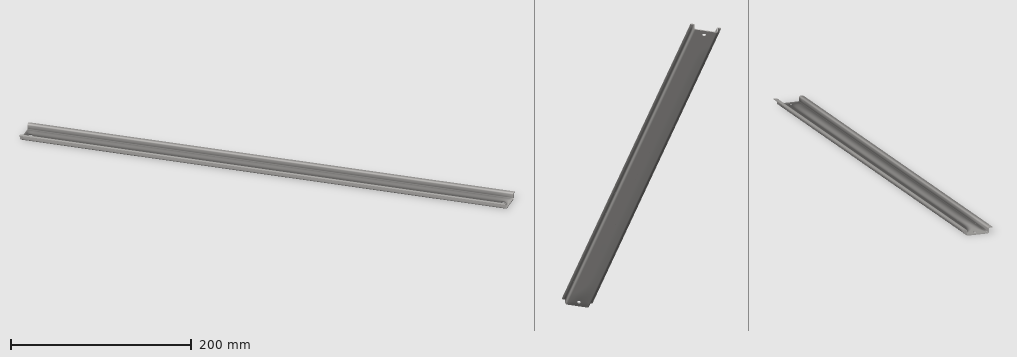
import cadquery as cq

length = 565.0
overall_width = 35.0
height = 7.5
channel_width = 27.0
thickness = 1.0
inner_bend_radius = 0.8
outer_bend_radius = inner_bend_radius + thickness

hole_diameter = 4.5
hole_end_distance = 8.0

position_tolerance = 0.05
half_overall = overall_width / 2
half_channel = channel_width / 2
half_inner = half_channel - thickness


def make_rail():
    """Extrude the hat-shaped section, open side up, and round its bends."""
    outline = [
        (-half_overall, height),
        (-half_overall, height - thickness),
        (-half_channel, height - thickness),
        (-half_channel, 0),
        (half_channel, 0),
        (half_channel, height - thickness),
        (half_overall, height - thickness),
        (half_overall, height),
        (half_inner, height),
        (half_inner, thickness),
        (-half_inner, thickness),
        (-half_inner, height),
    ]
    rail = cq.Workplane("YZ").polyline(outline).close().extrude(length / 2, both=True)

    def bend_edges(y, z):
        return rail.edges("|X").filter(
            lambda edge: abs(abs(edge.Center().y) - y) < position_tolerance
            and abs(edge.Center().z - z) < position_tolerance
        )

    rail = bend_edges(half_channel, 0).fillet(outer_bend_radius)
    rail = bend_edges(half_inner, height).fillet(outer_bend_radius)
    rail = bend_edges(half_inner, thickness).fillet(inner_bend_radius)
    return bend_edges(half_channel, height - thickness).fillet(inner_bend_radius)


def make_holes():
    """Cutters for the holes through the channel floor, at both ends."""
    hole_x = length / 2 - hole_end_distance
    return (
        cq.Workplane("XY")
        .pushPoints([(-hole_x, 0), (hole_x, 0)])
        .circle(hole_diameter / 2)
        .extrude(height)
    )


result = make_rail().cut(make_holes())